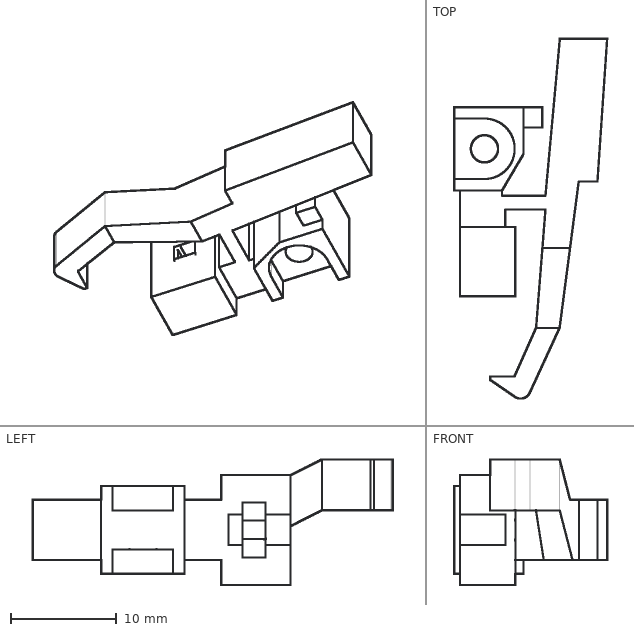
import cadquery as cq


body_height = 5.73
boss_height = 8.32
block_height = 10.45
floor_thickness = 3.68
hook_top = 6.7
hook_height = 4.85

boss_left = -2.85
boss_right = 3.7
boss_half_length = 3.95
boss_chamfer_start = -0.48
hole_diameter = 2.55
pocket_radius = 2.85
tab_right = 5.5
tab_front = 2.0

neck_left = -2.32
neck_rear_right = 1.67
neck_front_right = 1.98
bridge_rear = -4.45
bridge_front = -5.75
bridge_arm_x = 5.75

block_right = 2.93
block_rear = -7.4
block_front = -13.98
slot_rear = -8.1
slot_depth = 4.3
slot_height = 2.9
recess_rear = -9.45
recess_front = -11.63
recess_height = 5.2
window_height = 1.75

arm_rear = 10.45
arm_rear_inner = 7.13
arm_rear_outer = 11.63
step_y = -3.1
step_outer = 10.7
step_inner = 8.95
ramp_start = -9.38
hook_start = -16.95
hook_start_inner = 4.88
hook_start_outer = 7.13

barb_rear = -21.55
barb_inner = 2.83
barb_tip = 0.55
barb_tip_front = -21.9
hook_corner = (3.82, -24.15)
hook_radius = 0.95


def box(x_min, x_max, y_min, y_max, height):
    """Box centred on mid-height."""
    return (
        cq.Workplane("XY")
        .box(x_max - x_min, y_max - y_min, height)
        .translate(((x_min + x_max) / 2, (y_min + y_max) / 2, 0))
    )


def prism(points, height):
    """Prism on a plan outline, centred on mid-height."""
    return cq.Workplane("XY").polyline(points).close().extrude(height / 2, both=True)


def make_boss():
    """Drilled boss with an open U-shaped pocket in each face and a side tab."""
    boss = prism(
        [
            (boss_left, boss_half_length),
            (boss_right, boss_half_length),
            (boss_right, boss_chamfer_start),
            (neck_rear_right, -boss_half_length),
            (boss_left, -boss_half_length),
        ],
        boss_height,
    )
    pocket = box(boss_left, 0, -pocket_radius, pocket_radius, boss_height).union(
        cq.Workplane("XY").circle(pocket_radius).extrude(boss_height / 2, both=True)
    )
    floor = box(boss_left, boss_right, -boss_half_length, boss_half_length, floor_thickness)
    hole = cq.Workplane("XY").circle(hole_diameter / 2).extrude(boss_height / 2, both=True)
    tab = box(0, tab_right, tab_front, boss_half_length, body_height)
    tab = tab.cut(pocket)
    return boss.cut(pocket.cut(floor)).cut(hole).union(tab)


def make_neck():
    """Neck between boss and block, with the thin bridge to the arm."""
    return prism(
        [
            (neck_left, -boss_half_length),
            (neck_rear_right, -boss_half_length),
            (neck_rear_right, bridge_rear),
            (bridge_arm_x, bridge_rear),
            (bridge_arm_x, bridge_front),
            (neck_front_right, bridge_front),
            (neck_front_right, block_rear),
            (neck_left, block_rear),
        ],
        body_height,
    )


def make_block():
    """Block with a side slot and a cross recess that tapers to a window."""
    block = box(neck_left, block_right, block_front, block_rear, block_height)
    slot = box(neck_left, neck_left + slot_depth, block_front, slot_rear, slot_height)
    taper_start = neck_left + slot_depth
    recess = (
        cq.Workplane("XZ", origin=(0, recess_rear, 0))
        .polyline(
            [
                (neck_left, recess_height / 2),
                (taper_start, recess_height / 2),
                (block_right, window_height / 2),
                (block_right, -window_height / 2),
                (taper_start, -recess_height / 2),
                (neck_left, -recess_height / 2),
            ]
        )
        .close()
        .extrude(recess_rear - recess_front)
    )
    return block.cut(slot).cut(recess)


def make_arm():
    """Lever arm: its plan outline intersected with its stepped side profile."""
    plan = prism(
        [
            (arm_rear_inner, arm_rear),
            (arm_rear_outer, arm_rear),
            (step_outer, step_y),
            (step_inner, step_y),
            (hook_start_outer, hook_start),
            hook_corner,
            (barb_tip, barb_tip_front),
            (barb_tip, barb_rear),
            (barb_inner, barb_rear),
            (hook_start_inner, hook_start),
            (bridge_arm_x, bridge_front),
            (bridge_arm_x, bridge_rear),
        ],
        2 * hook_top,
    )
    plan = plan.edges("|Z").edges("<Y").fillet(hook_radius)

    body_top = body_height / 2
    hook_bottom = hook_top - hook_height
    ramp_slope = (hook_top - body_top) / (ramp_start - hook_start)
    lower_ramp_start = hook_start + (hook_bottom + body_top) / ramp_slope
    hook_end = hook_corner[1]
    side = (
        cq.Workplane("YZ")
        .polyline(
            [
                (arm_rear, body_top),
                (ramp_start, body_top),
                (hook_start, hook_top),
                (hook_end, hook_top),
                (hook_end, hook_bottom),
                (hook_start, hook_bottom),
                (lower_ramp_start, -body_top),
                (arm_rear, -body_top),
            ]
        )
        .close()
        .extrude(arm_rear_outer)
    )
    return plan.intersect(side)


result = make_boss().union(make_neck()).union(make_block()).union(make_arm())